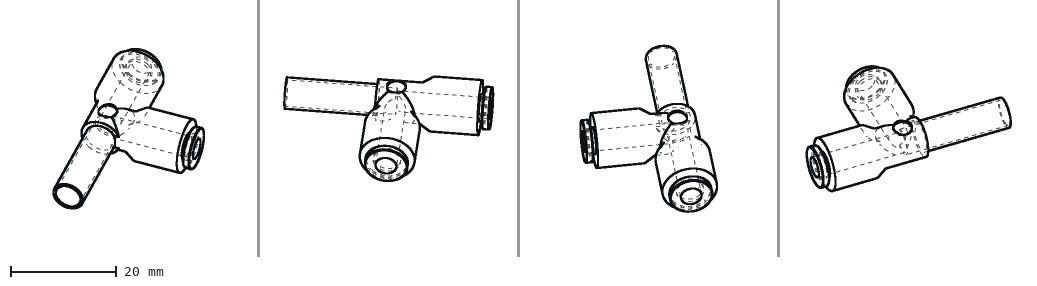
import cadquery as cq


overall_length = 39
overall_width = 23.25
overall_height = 10.5

body_radius = overall_height / 2
neck_radius = 3.95
cone_start = 4.7
cone_end = 6.8
body_end = 15.95
cone_blend = 0.78

collar_tip = overall_width - body_radius
collar_length = 1.35
collar_radius = 4.05
collar_neck_radius = 2.6
collar_back_chamfer = 0.2
collar_tip_chamfer = 0.1

hub_end = 3.65
tube_radius = 3.0
tube_bore_radius = 2.5
tube_end = overall_length - collar_tip
bore_radius = 2.0

emblem_radius = 1.8
emblem_floor = 3.5


def make_socket():
    """Solid socket along +X, starting at the crossing of the axes."""
    collar_back = collar_tip - collar_length
    shell = (
        cq.Workplane("XY")
        .polyline([
            (0, 0),
            (0, neck_radius),
            (cone_start, neck_radius),
            (cone_end, body_radius),
            (body_end, body_radius),
            (body_end, 0),
        ])
        .close()
        .revolve(360, (0, 0, 0), (1, 0, 0))
    )
    cone_box = cq.selectors.BoxSelector(
        (neck_radius, -body_radius, -body_radius),
        (cone_end + cone_blend, body_radius, body_radius),
    )
    shell = shell.edges(cone_box).edges("%CIRCLE").fillet(cone_blend)
    collar = (
        cq.Workplane("YZ", origin=(collar_back, 0, 0))
        .circle(collar_radius)
        .extrude(collar_length)
        .faces("<X").chamfer(collar_back_chamfer)
        .faces(">X").chamfer(collar_tip_chamfer)
    )
    collar_neck = (
        cq.Workplane("YZ", origin=(body_end, 0, 0))
        .circle(collar_neck_radius)
        .extrude(collar_back - body_end)
    )
    return shell.union(collar_neck).union(collar)


def rod_along_y(radius, y_start, y_end):
    """Round rod on the Y axis between two Y positions."""
    return (
        cq.Workplane("XZ", origin=(0, y_end, 0))
        .circle(radius)
        .extrude(y_end - y_start)
    )


def make_branch_bore():
    """Bore of the +X socket, running from the main bore to the collar mouth."""
    return cq.Workplane("YZ").circle(bore_radius).extrude(collar_tip)


def make_emblem_recess():
    """Flat-floored round cutter above the crossing."""
    return (
        cq.Workplane("XY", origin=(0, 0, emblem_floor))
        .circle(emblem_radius)
        .extrude(neck_radius)
    )


branch_socket = make_socket()
main_socket = branch_socket.rotate((0, 0, 0), (0, 0, 1), 90)
hub = rod_along_y(neck_radius, -hub_end, 0)
tube = rod_along_y(tube_radius, -tube_end, 0)

result = (
    main_socket
    .union(branch_socket)
    .union(hub)
    .union(tube)
    .cut(rod_along_y(bore_radius, -tube_end, collar_tip))
    .cut(rod_along_y(tube_bore_radius, -tube_end, 0))
    .cut(make_branch_bore())
    .cut(make_emblem_recess())
)